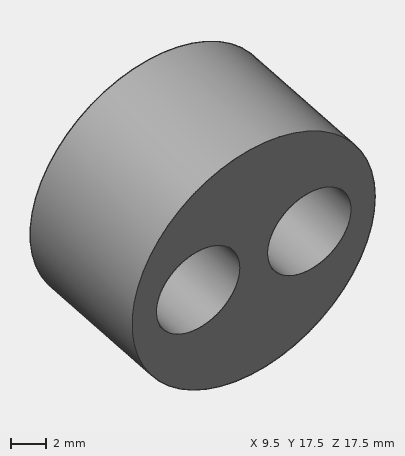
import cadquery as cq

body_diameter = 17.5
body_length = 9.5
hole_diameter = 6.0
hole_spacing = 8.0


def make_body():
    """Plain cylinder with its axis along X, starting at X = 0."""
    return cq.Workplane("YZ").circle(body_diameter / 2).extrude(body_length)


def make_holes():
    """Two parallel through holes, placed symmetrically about the body axis."""
    centres = [(-hole_spacing / 2, 0), (hole_spacing / 2, 0)]
    return (
        cq.Workplane("YZ")
        .pushPoints(centres)
        .circle(hole_diameter / 2)
        .extrude(body_length)
    )


result = make_body().cut(make_holes())